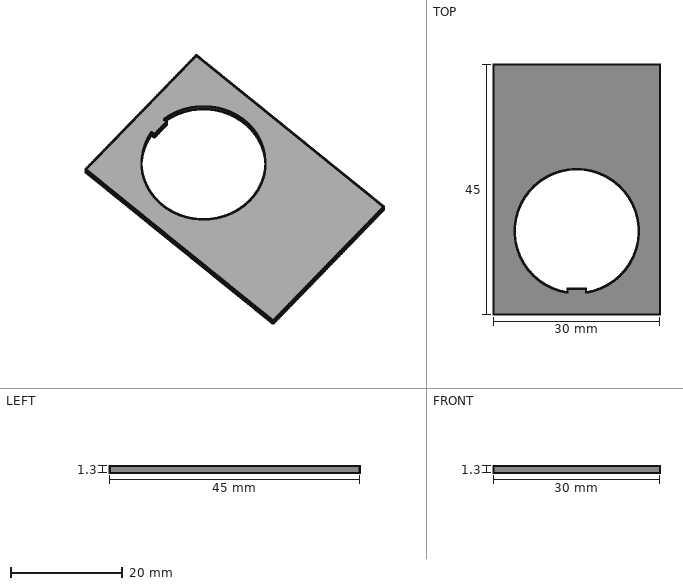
import cadquery as cq

plate_width = 30.0
plate_length = 45.0
plate_thickness = 1.3

opening_diameter = 22.28
opening_y = plate_length / 3 - plate_length / 2

key_width = 3.38
key_tip_distance = 10.3


def make_plate():
    return cq.Workplane("XY").box(plate_width, plate_length, plate_thickness)


def make_opening():
    """Cylinder with the key removed, so that the key stays on the plate."""
    radius = opening_diameter / 2
    key_length = radius - key_tip_distance
    cylinder = cq.Workplane("XY").circle(radius).extrude(plate_thickness, both=True)
    key = (
        cq.Workplane("XY")
        .center(0, -key_tip_distance - key_length / 2)
        .rect(key_width, key_length)
        .extrude(plate_thickness, both=True)
    )
    return cylinder.cut(key).translate((0, opening_y, 0))


result = make_plate().cut(make_opening())